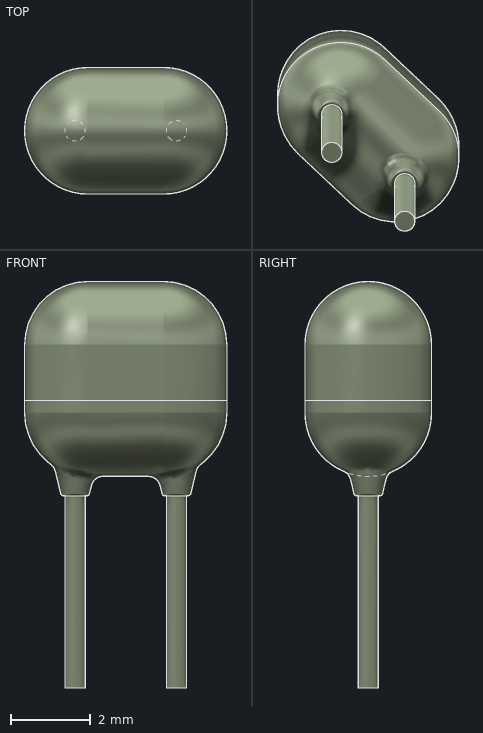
import cadquery as cq
import math


body_length = 5.08
body_width = 3.18
body_height = 4.89
split_below_top = 2.99

lead_pitch = 2.54
lead_diameter = 0.51
lead_length = 4.82

collar_drop = 0.49
collar_end_radius = 0.35
collar_taper_deg = 13.5
collar_edge_radius = 0.08
collar_blend_radius = 0.3

round_radius = body_width / 2
straight_length = body_length - body_width
body_bottom = collar_drop
body_top = body_bottom + body_height
upper_center_z = body_top - round_radius
lower_center_z = body_bottom + round_radius
split_z = body_top - split_below_top
band_margin = 1.0
lead_positions = [-lead_pitch / 2, lead_pitch / 2]


def rounded_end(center_x):
    """Vertical capsule: a cylinder with a hemisphere at each end."""
    return (
        cq.Workplane("XZ")
        .moveTo(0, body_bottom)
        .radiusArc((round_radius, lower_center_z), -round_radius)
        .lineTo(round_radius, upper_center_z)
        .radiusArc((0, body_top), -round_radius)
        .close()
        .revolve(360, (0, 0, 0), (0, 1, 0))
        .translate((center_x, 0, 0))
    )


def coating():
    """Straight middle with round top and bottom, closed by a capsule at each end."""
    middle = (
        cq.Workplane("YZ")
        .center(0, (body_top + body_bottom) / 2)
        .slot2D(body_height, body_width, 90)
        .extrude(straight_length / 2, both=True)
    )
    left_end = rounded_end(-straight_length / 2)
    right_end = rounded_end(straight_length / 2)
    return middle.union(left_end).union(right_end)


def collar(center_x):
    """Cone that widens upward from the seating plane and ends inside the base."""
    top_radius = collar_end_radius + lower_center_z * math.tan(math.radians(collar_taper_deg))
    cone = cq.Solid.makeCone(collar_end_radius, top_radius, lower_center_z)
    return cq.Workplane(cone).translate((center_x, 0, 0))


def height_band(z_min, z_max):
    """Block that covers the whole coating outline between two heights."""
    return (
        cq.Workplane("XY")
        .workplane(offset=z_min)
        .rect(2 * body_length, 2 * body_width)
        .extrude(z_max - z_min)
    )


def make_cap():
    """Upper part of the coating, down to the split plane."""
    return coating().intersect(height_band(split_z, body_top + band_margin))


def make_base():
    """Lower part of the coating with a blended collar above each lead."""
    base = coating().intersect(height_band(body_bottom - band_margin, split_z))
    for x in lead_positions:
        base = base.union(collar(x))
    base = base.edges("%BSPLINE").fillet(collar_blend_radius)
    return base.edges("<Z").fillet(collar_edge_radius)


def make_lead(center_x):
    """Straight round wire that hangs from the underside of its collar."""
    return (
        cq.Workplane("XY")
        .center(center_x, 0)
        .circle(lead_diameter / 2)
        .extrude(-lead_length)
    )


cap = make_cap()
base = make_base()
leads = [make_lead(x) for x in lead_positions]

result = cq.Compound.makeCompound([cap.val(), base.val(), *[lead.val() for lead in leads]])